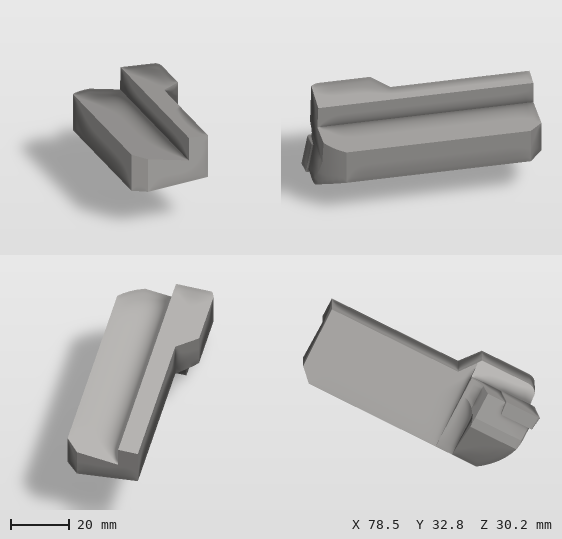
import cadquery as cq
import math

LENGTH = 78.48
DEPTH = 32.8
HEIGHT = 30.2

LOBE_FLAT_END = 24.8
LOBE_END = 30.4
LOBE_DEPTH = 6.85
LOBE_RADIUS = 4.0
LOBE_SIDE_X = 3.0
END_CHAMFER = 4.5
NOSE_X = 1.5
NOSE_START_Y = 17.5
NOSE_MID = (3.85, 8.2)
NOSE_END_X = 10.2

STEP_Y = 19.0
LEDGE_ANGLE = 8.0
FRONT_TOP_Z = -5.5
FRONT_BOTTOM_Z = -18.5
LOBE_BOTTOM_Z = -13.35
HEAD_BACK_Y = 26.9
HEAD_BACK_TOP_Z = -16.3
HEAD_TOE_Y = 13.8
HEAD_TOE_Z = -28.35
HEAD_BOTTOM_Z = -28.8
HEAD_FLAT_Y = 17.4

END_TOP_X = 4.15
END_BREAK = (3.55, -15.6)
END_BOTTOM_X = 1.5
END_BEVEL = 0.45
HEAD_SIDE_X = 19.5
ARC_START = (21.3, -21.4)
ARC_MID = (23.0, -19.5)
ARC_END_X = 25.7
WEB_FRONT_Y = 20.0
WEB_RADIUS = ARC_END_X - HEAD_SIDE_X

INSERT_SIZE = 12.7
INSERT_ANGLE = 80.0
INSERT_THICKNESS = 4.85
INSERT_FACE_Y = 27.5
INSERT_RADIUS = 0.8
CLEARANCE_ANGLE = 7.0


def section_prism():
    """Cross-section of the rib, ledge and head, swept along the full length."""
    ledge_z = FRONT_TOP_Z - STEP_Y * math.tan(math.radians(LEDGE_ANGLE))
    return (
        cq.Workplane("YZ")
        .moveTo(0, FRONT_TOP_Z)
        .lineTo(STEP_Y, ledge_z)
        .lineTo(STEP_Y, 0)
        .lineTo(DEPTH, 0)
        .lineTo(DEPTH, LOBE_BOTTOM_Z)
        .lineTo(HEAD_BACK_Y, HEAD_BACK_TOP_Z)
        .lineTo(HEAD_BACK_Y, HEAD_BOTTOM_Z)
        .lineTo(HEAD_FLAT_Y, HEAD_BOTTOM_Z)
        .lineTo(HEAD_TOE_Y, HEAD_TOE_Z)
        .lineTo(0, FRONT_BOTTOM_Z)
        .close()
        .extrude(LENGTH)
    )


def plan_prism():
    """Outline seen along Z: rear lobe, chamfered tail and rounded front corner."""
    corner_shift = LOBE_RADIUS * (1 - math.sqrt(0.5))
    shank_back_y = DEPTH - LOBE_DEPTH
    return (
        cq.Workplane("XY")
        .workplane(offset=-HEIGHT)
        .moveTo(NOSE_END_X, 0)
        .lineTo(LENGTH - END_CHAMFER, 0)
        .lineTo(LENGTH, END_CHAMFER)
        .lineTo(LENGTH, shank_back_y)
        .lineTo(LOBE_END, shank_back_y)
        .lineTo(LOBE_FLAT_END, DEPTH)
        .lineTo(LOBE_SIDE_X + LOBE_RADIUS, DEPTH)
        .threePointArc(
            (LOBE_SIDE_X + corner_shift, DEPTH - corner_shift),
            (LOBE_SIDE_X, DEPTH - LOBE_RADIUS),
        )
        .lineTo(LOBE_SIDE_X, HEAD_BACK_Y)
        .lineTo(NOSE_X, HEAD_BACK_Y)
        .lineTo(NOSE_X, NOSE_START_Y)
        .threePointArc(NOSE_MID, (NOSE_END_X, 0))
        .close()
        .extrude(HEIGHT)
    )


def side_prism():
    """Outline seen along Y: broken end face, head and its arc into the shank."""
    return (
        cq.Workplane("XZ")
        .moveTo(END_TOP_X, 0)
        .lineTo(*END_BREAK)
        .lineTo(END_BOTTOM_X, HEAD_BOTTOM_Z + END_BEVEL)
        .lineTo(END_BOTTOM_X + END_BEVEL, HEAD_BOTTOM_Z)
        .lineTo(HEAD_SIDE_X, HEAD_BOTTOM_Z)
        .lineTo(*ARC_START)
        .threePointArc(ARC_MID, (ARC_END_X, FRONT_BOTTOM_Z))
        .lineTo(LENGTH, FRONT_BOTTOM_Z)
        .lineTo(LENGTH, 0)
        .close()
        .extrude(-DEPTH)
    )


def shank_undercut():
    """Wedge that makes the shank underside rise towards the back."""
    rise = DEPTH * math.tan(math.radians(LEDGE_ANGLE))
    return (
        cq.Workplane("YZ")
        .workplane(offset=ARC_END_X)
        .moveTo(0, FRONT_BOTTOM_Z)
        .lineTo(DEPTH, FRONT_BOTTOM_Z + rise)
        .lineTo(DEPTH, FRONT_BOTTOM_Z)
        .close()
        .extrude(LENGTH - ARC_END_X)
    )


def head_side_relief():
    """Space beside the head, with a hollow round leading into the web."""
    arc_shift = WEB_RADIUS * (1 - math.sqrt(0.5))
    return (
        cq.Workplane("XY")
        .workplane(offset=-HEIGHT)
        .moveTo(HEAD_SIDE_X, 0)
        .lineTo(HEAD_SIDE_X, WEB_FRONT_Y - WEB_RADIUS)
        .threePointArc(
            (HEAD_SIDE_X + arc_shift, WEB_FRONT_Y - arc_shift),
            (ARC_END_X, WEB_FRONT_Y),
        )
        .lineTo(ARC_END_X, 0)
        .close()
        .extrude(HEIGHT + FRONT_BOTTOM_Z)
    )


def make_insert():
    """Rhombic cutting insert, largest at its rear cutting face."""
    lean = math.radians(90 - INSERT_ANGLE)
    side = INSERT_SIZE / math.cos(lean)
    shift = INSERT_SIZE * math.tan(lean)
    start = INSERT_RADIUS * (1 - math.tan(math.pi / 4 + lean / 2))
    top = INSERT_SIZE - HEIGHT
    outline = (
        cq.Sketch()
        .polygon([
            (start, -HEIGHT),
            (start + side, -HEIGHT),
            (start + side + shift, top),
            (start + shift, top),
            (start, -HEIGHT),
        ])
        .vertices()
        .fillet(INSERT_RADIUS)
    )
    return (
        cq.Workplane("XZ", origin=(0, INSERT_FACE_Y, 0))
        .placeSketch(outline)
        .extrude(INSERT_THICKNESS, taper=CLEARANCE_ANGLE)
    )


def make_holder(seated_insert):
    """Tool holder with a pocket that matches the insert."""
    blank = section_prism().intersect(plan_prism()).intersect(side_prism())
    return blank.cut(shank_undercut()).cut(head_side_relief()).cut(seated_insert)


insert = make_insert()
holder = make_holder(insert)

result = cq.Compound.makeCompound([holder.solids().val(), insert.val()])